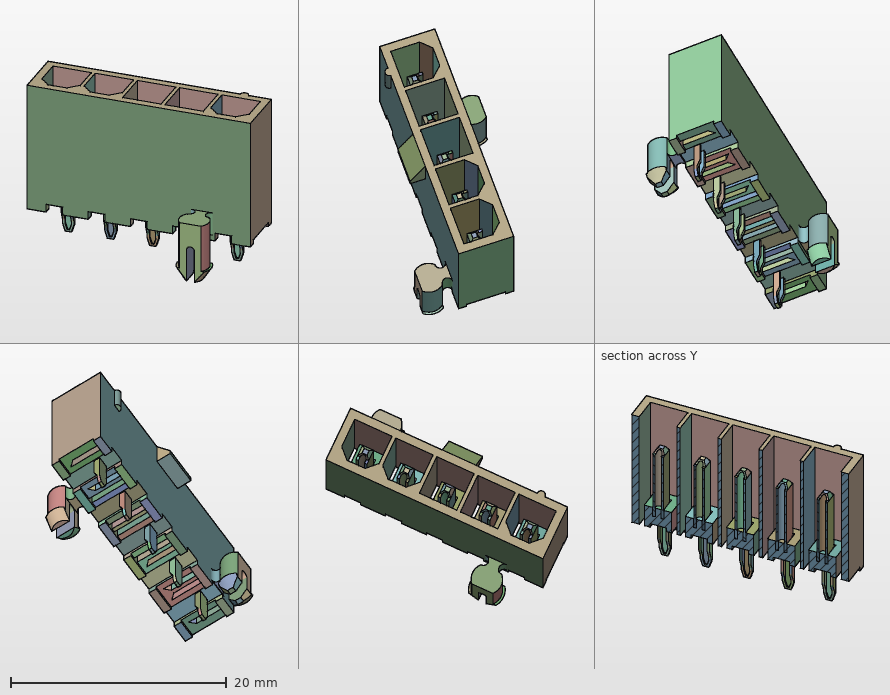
import cadquery as cq


CONTACT_COUNT = 5
PITCH = 4.2
CONTACT_X = [(i - (CONTACT_COUNT - 1) / 2) * PITCH for i in range(CONTACT_COUNT)]

HOUSING_LENGTH = 22.2
HOUSING_DEPTH = 5.42
HOUSING_HEIGHT = 12.79
BACK_Y = HOUSING_DEPTH / 2

CAVITY_SIZE = 3.82
CAVITY_CHAMFER = 0.98
CHAMFERED_CAVITIES = (0, 1, 4)
FLOOR_WIDTH = 2.8
FLOOR_TOP = 2.8

RECESS_HEIGHT = 0.4
NOTCH_WIDTH = 1.65
NOTCH_HEIGHT = 0.8

LATCH_WIDTH = 3.45
LATCH_HEIGHT = 2.93
LATCH_REACH = 1.49
LATCH_LIP = 0.55
RIB_RADIUS = 0.4
RIB_X = CONTACT_X[-1]

PEG_RADIUS = 1.47
PEG_THICKNESS = 2.0
PEG_TOP = 2.86
PEG_BOTTOM = -3.06
PEG_GAP = 1.0
PEG_OFFSET = BACK_Y + PEG_GAP + PEG_THICKNESS / 2
BACK_PEG_X = CONTACT_X[0]
FRONT_PEG_X = 1.5 * PITCH
BARB_TOP = -1.8
BARB_RADIUS = 1.7
BARB_TIP_MIDDLE_X = 0.89
BARB_TIP_CORNER_X = 0.35
SLOT_WIDTH = 0.8
SLOT_TOP = 0.53
TAPER_HEIGHT = 1.0
TAPER_TIP_THICKNESS = 0.62

NECK_BOTTOM = 0.58
NECK_WAIST_HALF = 0.55
NECK_HALF_WIDTH = NECK_WAIST_HALF + PEG_GAP / 2

PIN_WIDTH = 1.13
PIN_GROOVE_WIDTH = 0.62
TAIL_BACK_Y = 1.18
TAIL_FRONT_Y = 0.55
TAIL_THIN_Y = 0.87
TAIL_GROOVE_Y = 1.05
TAIL_BOTTOM = -3.5
TAIL_STEP_TOP = -1.55
TAIL_STEP_BOTTOM = -2.3
TAIL_STEP_RADIUS = 0.58
TAIL_TIP_HEIGHT = 0.8
TAIL_TIP_WIDTH = 0.62
TAIL_GROOVE_RISE = 0.2
TAIL_GROOVE_TIP_WIDTH = 0.22
BLADE_BOTTOM = (NOTCH_HEIGHT + FLOOR_TOP) / 2
BLADE_SHOULDER = 8.88
BLADE_BACK_Y = 0.75
BLADE_FRONT_Y = -0.7
BLADE_CORE_FRONT_Y = -0.33
BLADE_GROOVE_Y = -0.09
BLADE_TIP_HEIGHT = 0.49
BLADE_TIP_INSET = 0.3


def block(x_range, y_range, z_range):
    """Axis-aligned box between the given limits."""
    (x0, x1), (y0, y1), (z0, z1) = x_range, y_range, z_range
    box = cq.Workplane("XY").box(x1 - x0, y1 - y0, z1 - z0, centered=False)
    return box.translate((x0, y0, z0))


def centred(width):
    """Limits of a span of this width, centred on zero."""
    return (-width / 2, width / 2)


def cavity(chamfered):
    """Opening of one contact, through the full height, around a floor web left standing."""
    opening = block(centred(CAVITY_SIZE), centred(CAVITY_SIZE), (0, HOUSING_HEIGHT))
    if chamfered:
        opening = opening.edges("|Z and <Y").chamfer(CAVITY_CHAMFER)
    web = block(centred(FLOOR_WIDTH), centred(CAVITY_SIZE), (0, FLOOR_TOP))
    return opening.cut(web)


def underside_cutouts():
    """Shallow lengthwise recess and one deeper cross notch under each contact."""
    cutouts = block(centred(HOUSING_LENGTH), centred(CAVITY_SIZE), (0, RECESS_HEIGHT))
    notch = block(centred(NOTCH_WIDTH), centred(HOUSING_DEPTH), (0, NOTCH_HEIGHT))
    for x in CONTACT_X:
        cutouts = cutouts.union(notch.translate((x, 0, 0)))
    return cutouts


def latch():
    """Ramp on the back wall, sloping out from the top edge to a short vertical lip."""
    bottom = HOUSING_HEIGHT - LATCH_HEIGHT
    outer_y = BACK_Y + LATCH_REACH
    profile = [
        (BACK_Y, HOUSING_HEIGHT),
        (BACK_Y, bottom),
        (outer_y, bottom),
        (outer_y, bottom + LATCH_LIP),
    ]
    return cq.Workplane("YZ").polyline(profile).close().extrude(LATCH_WIDTH / 2, both=True)


def keying_rib():
    """Half-round rib on the back wall, as tall as the latch."""
    rib = cq.Workplane("XY").center(RIB_X, BACK_Y).circle(RIB_RADIUS).extrude(LATCH_HEIGHT)
    rib = rib.translate((0, 0, HOUSING_HEIGHT - LATCH_HEIGHT))
    outside = block(centred(HOUSING_LENGTH), (BACK_Y, BACK_Y + RIB_RADIUS), (0, HOUSING_HEIGHT))
    return rib.intersect(outside)


def barb_half():
    """Tapered barb on the +X side of a peg, ruled between a wide top and a narrow tip."""
    half = PEG_THICKNESS / 2
    top_corner_x = (BARB_RADIUS**2 - half**2) ** 0.5

    def section(plane, corner_x, middle_x):
        start = plane.moveTo(0, -half).lineTo(corner_x, -half)
        return start.threePointArc((middle_x, 0), (corner_x, half)).lineTo(0, half).close()

    top = section(cq.Workplane("XY").workplane(offset=BARB_TOP), top_corner_x, BARB_RADIUS)
    tip_plane = top.workplane(offset=PEG_BOTTOM - BARB_TOP)
    return section(tip_plane, BARB_TIP_CORNER_X, BARB_TIP_MIDDLE_X).loft(ruled=True)


def peg_slot():
    """Round-topped slot that splits the lower part of a peg into two prongs."""
    radius = SLOT_WIDTH / 2
    arch_z = SLOT_TOP - radius
    outline = (
        cq.Workplane("XZ")
        .moveTo(-radius, PEG_BOTTOM)
        .lineTo(-radius, arch_z)
        .threePointArc((0, SLOT_TOP), (radius, arch_z))
        .lineTo(radius, PEG_BOTTOM)
        .close()
    )
    return outline.extrude(PEG_THICKNESS / 2, both=True)


def peg_taper():
    """Space a tapered peg tip stays within: its flats lean inwards near the bottom."""
    half = PEG_THICKNESS / 2
    tip_half = TAPER_TIP_THICKNESS / 2
    taper_top = PEG_BOTTOM + TAPER_HEIGHT
    profile = [
        (-tip_half, PEG_BOTTOM),
        (tip_half, PEG_BOTTOM),
        (half, taper_top),
        (half, PEG_TOP),
        (-half, PEG_TOP),
        (-half, taper_top),
    ]
    return cq.Workplane("YZ").polyline(profile).close().extrude(BARB_RADIUS, both=True)


def neck():
    """Bridge waisted by two half-round hollows, on the -Y side of a peg at the origin."""
    end_y = -PEG_THICKNESS / 2
    root_y = end_y - PEG_GAP
    waist_y = (root_y + end_y) / 2
    outline = (
        cq.Workplane("XY")
        .moveTo(-NECK_HALF_WIDTH, root_y)
        .lineTo(NECK_HALF_WIDTH, root_y)
        .threePointArc((NECK_WAIST_HALF, waist_y), (NECK_HALF_WIDTH, end_y))
        .lineTo(-NECK_HALF_WIDTH, end_y)
        .threePointArc((-NECK_WAIST_HALF, waist_y), (-NECK_HALF_WIDTH, root_y))
        .close()
    )
    return outline.extrude(PEG_TOP - NECK_BOTTOM).translate((0, 0, NECK_BOTTOM))


def board_lock(tapered):
    """Split peg with barbs and its neck, the peg axis at the origin and the housing on -Y."""
    shank = cq.Workplane("XY").workplane(offset=BARB_TOP).circle(PEG_RADIUS).extrude(PEG_TOP - BARB_TOP)
    shank = shank.intersect(block(centred(2 * PEG_RADIUS), centred(PEG_THICKNESS), (BARB_TOP, PEG_TOP)))
    right_barb = barb_half()
    peg = shank.union(right_barb).union(right_barb.mirror("YZ")).cut(peg_slot())
    if tapered:
        peg = peg.intersect(peg_taper())
    return peg.union(neck())


def housing_shell():
    """Complete housing, before the pin passages are cut."""
    shell = block(centred(HOUSING_LENGTH), centred(HOUSING_DEPTH), (0, HOUSING_HEIGHT))
    for index, x in enumerate(CONTACT_X):
        shell = shell.cut(cavity(index in CHAMFERED_CAVITIES).translate((x, 0, 0)))
    shell = shell.cut(underside_cutouts())
    shell = shell.union(latch()).union(keying_rib())
    back_lock = board_lock(tapered=True).translate((BACK_PEG_X, PEG_OFFSET, 0))
    front_lock = board_lock(tapered=False).rotate((0, 0, 0), (0, 0, 1), 180)
    front_lock = front_lock.translate((FRONT_PEG_X, -PEG_OFFSET, 0))
    return shell.union(back_lock).union(front_lock)


def pointed_strip(width, tip_width, taper_bottom, top, y_range):
    """Upright strip that narrows towards its lower end."""
    taper_top = TAIL_BOTTOM + TAIL_TIP_HEIGHT
    outline = [
        (-tip_width / 2, taper_bottom),
        (tip_width / 2, taper_bottom),
        (width / 2, taper_top),
        (width / 2, top),
        (-width / 2, top),
        (-width / 2, taper_top),
    ]
    front_y, back_y = y_range
    strip = cq.Workplane("XZ").polyline(outline).close().extrude(front_y - back_y)
    return strip.translate((0, front_y, 0))


def tail():
    """Solder tail: a channel open to -Y whose flanges step down to a thin pointed end."""
    side_profile = [
        (TAIL_BACK_Y, TAIL_BOTTOM),
        (TAIL_BACK_Y, FLOOR_TOP),
        (TAIL_FRONT_Y, FLOOR_TOP),
        (TAIL_FRONT_Y, TAIL_STEP_TOP),
        (TAIL_THIN_Y, TAIL_STEP_BOTTOM),
        (TAIL_THIN_Y, TAIL_BOTTOM),
    ]
    body = cq.Workplane("YZ").polyline(side_profile).close().extrude(PIN_WIDTH / 2, both=True)
    for y, z in ((TAIL_FRONT_Y, TAIL_STEP_TOP), (TAIL_THIN_Y, TAIL_STEP_BOTTOM)):
        body = body.edges(cq.selectors.NearestToPointSelector((0, y, z))).fillet(TAIL_STEP_RADIUS)
    outline = pointed_strip(PIN_WIDTH, TAIL_TIP_WIDTH, TAIL_BOTTOM, FLOOR_TOP, (TAIL_FRONT_Y, TAIL_BACK_Y))
    groove = pointed_strip(
        PIN_GROOVE_WIDTH,
        TAIL_GROOVE_TIP_WIDTH,
        TAIL_BOTTOM + TAIL_GROOVE_RISE,
        BLADE_BOTTOM,
        (TAIL_FRONT_Y, TAIL_GROOVE_Y),
    )
    return body.intersect(outline).cut(groove)


def blade_groove():
    """Round-bottomed groove along the front of the blade."""
    radius = PIN_GROOVE_WIDTH / 2
    arch_y = BLADE_GROOVE_Y - radius
    outline = (
        cq.Workplane("XY", origin=(0, 0, BLADE_BOTTOM))
        .moveTo(-radius, BLADE_FRONT_Y)
        .lineTo(-radius, arch_y)
        .threePointArc((0, BLADE_GROOVE_Y), (radius, arch_y))
        .lineTo(radius, BLADE_FRONT_Y)
        .close()
    )
    return outline.extrude(BLADE_SHOULDER + BLADE_TIP_HEIGHT - BLADE_BOTTOM)


def blade():
    """Mating blade: a channel open to -Y with a blunt pyramid on its core."""
    body = block(centred(PIN_WIDTH), (BLADE_FRONT_Y, BLADE_BACK_Y), (BLADE_BOTTOM, BLADE_SHOULDER))
    core_depth = BLADE_BACK_Y - BLADE_CORE_FRONT_Y
    tip = (
        cq.Workplane("XY", origin=(0, (BLADE_BACK_Y + BLADE_CORE_FRONT_Y) / 2, BLADE_SHOULDER))
        .rect(PIN_WIDTH, core_depth)
        .workplane(offset=BLADE_TIP_HEIGHT)
        .rect(PIN_WIDTH - 2 * BLADE_TIP_INSET, core_depth - 2 * BLADE_TIP_INSET)
        .loft(ruled=True)
    )
    return body.union(tip).cut(blade_groove())


def contact_pin(x):
    """One pin: the blade stands in front of the tail and joins it inside the cavity floor."""
    return tail().union(blade()).translate((x, 0, 0))


pins = [contact_pin(x) for x in CONTACT_X]

housing = housing_shell()
for pin in pins:
    housing = housing.cut(pin)

result = cq.Compound.makeCompound([housing.val(), *[pin.val() for pin in pins]])